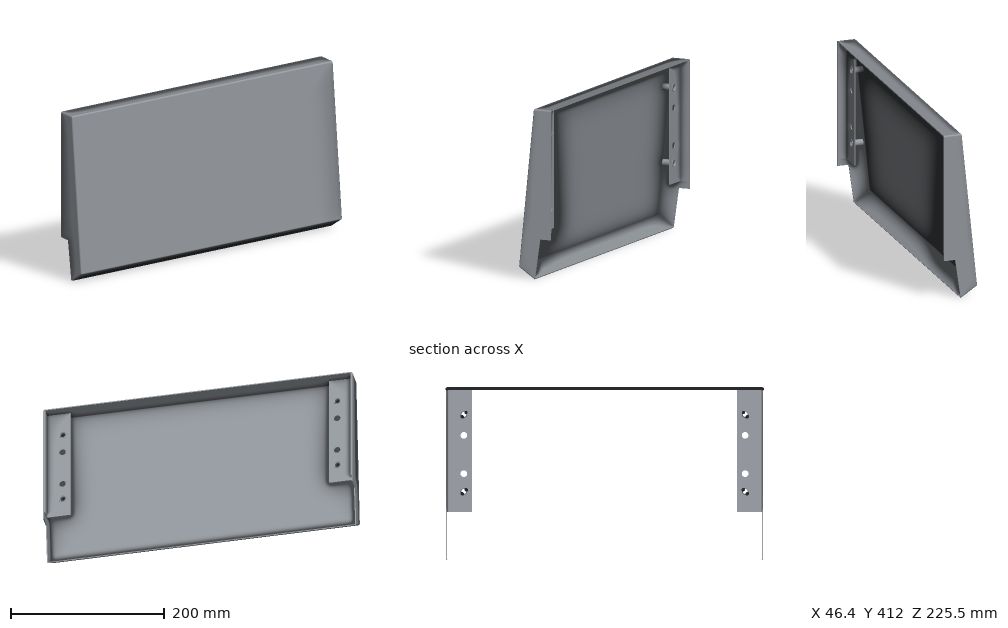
import cadquery as cq
import math

LENGTH = 412.0
DEPTH = 46.5
HEIGHT = 225.5

SHEET = 1.4
INNER_BEND_RADIUS = 0.65
OUTER_BEND_RADIUS = INNER_BEND_RADIUS + SHEET
TOP_DEPTH = 25.0
HEEL_HEIGHT = 15.0
LIP_FRONT = 24.0
STEP_HEIGHT = 53.5
STEP_DEPTH = 15.5

BRACKET_SETBACK = 12.0
FLANGE_WIDTH = 32.5
BRACKET_BOTTOM = 63.5

HOLE_INSET = 23.0
HOLE_DIAMETER = 8.5
RIVET_NUT_CENTRE = 140.5
RIVET_NUT_PITCH = 100.0
PLAIN_HOLE_CENTRE = 138.5
PLAIN_HOLE_PITCH = 50.0
SLEEVE_LENGTH = 15.0
RIM_DIAMETER = 10.5
RIM_THICKNESS = 1.0
BORE_DIAMETER = 6.0
COUNTERSINK = 1.2

BACK_SLOPE = (DEPTH - TOP_DEPTH) / (HEIGHT - HEEL_HEIGHT)
BACK_ANGLE = math.atan(BACK_SLOPE)
LIP_SLOPE = HEEL_HEIGHT / (DEPTH - LIP_FRONT)
LIP_ANGLE = math.atan(LIP_SLOPE)

BRACKET_TOP = HEIGHT - OUTER_BEND_RADIUS
WALL_INNER_Y = LENGTH / 2 - SHEET
HOLE_Y = LENGTH / 2 - HOLE_INSET
RIVET_NUT_HEIGHTS = [RIVET_NUT_CENTRE + direction * RIVET_NUT_PITCH / 2 for direction in (-1, 1)]
PLAIN_HOLE_HEIGHTS = [PLAIN_HOLE_CENTRE + direction * PLAIN_HOLE_PITCH / 2 for direction in (-1, 1)]


def make_tray_block(inset):
    """Solid tray shape, shrunk by inset on every side but the open front, with rounded bends."""
    back_shift = inset / math.cos(BACK_ANGLE)
    lip_shift = inset / math.cos(LIP_ANGLE)
    top_z = HEIGHT - inset
    top_x = TOP_DEPTH + inset * BACK_SLOPE - back_shift
    lip_start_z = lip_shift - LIP_FRONT * LIP_SLOPE

    heel_x = (TOP_DEPTH + (HEIGHT - lip_start_z) * BACK_SLOPE - back_shift) / (1 + BACK_SLOPE * LIP_SLOPE)
    heel_z = lip_start_z + heel_x * LIP_SLOPE
    profile = [(0, top_z), (top_x, top_z), (heel_x, heel_z), (0, lip_start_z)]
    block = cq.Workplane("XZ").polyline(profile).close().extrude(LENGTH / 2 - inset, both=True)
    return block.edges("not <X").fillet(OUTER_BEND_RADIUS - inset)


def make_housing():
    """Open-fronted tray: top strip, sloping back, rising bottom lip and two side walls."""
    tray = make_tray_block(0).cut(make_tray_block(SHEET))

    across_lip = (-math.sin(LIP_ANGLE), math.cos(LIP_ANGLE))
    lip_inner_end = (LIP_FRONT + SHEET * across_lip[0], SHEET * across_lip[1])
    below_lip = (LIP_FRONT - DEPTH * across_lip[0], -DEPTH * across_lip[1])
    front_cutout = (
        cq.Workplane("XZ")
        .moveTo(0, STEP_HEIGHT)
        .lineTo(STEP_DEPTH, STEP_HEIGHT)
        .lineTo(*lip_inner_end)
        .lineTo(*below_lip)
        .lineTo(0, below_lip[1])
        .close()
        .extrude(LENGTH / 2, both=True)
    )
    return tray.cut(front_cutout)


def make_bracket(side):
    """Bent angle on one side wall; side is -1 or +1 for the wall at -Y or +Y."""
    back_x = BRACKET_SETBACK + SHEET
    wall_y = side * WALL_INNER_Y
    leg_y = side * (WALL_INNER_Y - SHEET)
    flange_end_y = side * (WALL_INNER_Y - FLANGE_WIDTH)
    angle_profile = [
        (0, wall_y),
        (back_x, wall_y),
        (back_x, flange_end_y),
        (BRACKET_SETBACK, flange_end_y),
        (BRACKET_SETBACK, leg_y),
        (0, leg_y),
    ]
    bracket = (
        cq.Workplane("XY", origin=(0, 0, BRACKET_BOTTOM))
        .polyline(angle_profile)
        .close()
        .extrude(BRACKET_TOP - BRACKET_BOTTOM)
    )
    middle_z = (BRACKET_TOP + BRACKET_BOTTOM) / 2
    outer_bend = cq.selectors.NearestToPointSelector((back_x, wall_y, middle_z))
    inner_bend = cq.selectors.NearestToPointSelector((BRACKET_SETBACK, leg_y, middle_z))
    bracket = bracket.edges(outer_bend).fillet(OUTER_BEND_RADIUS)
    bracket = bracket.edges(inner_bend).fillet(INNER_BEND_RADIUS)

    hole_heights = RIVET_NUT_HEIGHTS + PLAIN_HOLE_HEIGHTS
    holes = (
        cq.Workplane("YZ")
        .pushPoints([(side * HOLE_Y, z) for z in hole_heights])
        .circle(HOLE_DIAMETER / 2)
        .extrude(DEPTH)
    )
    return bracket.cut(holes)


def make_rivet_nut(y, z):
    """Sleeve with a thin rim on the flange's front face and a bore with a countersunk mouth."""
    seat = cq.Workplane("YZ", origin=(BRACKET_SETBACK, y, z))
    rim = seat.circle(RIM_DIAMETER / 2).extrude(-RIM_THICKNESS)
    sleeve = seat.circle(HOLE_DIAMETER / 2).extrude(SLEEVE_LENGTH)
    mouth = seat.workplane(offset=-RIM_THICKNESS)
    bore = mouth.circle(BORE_DIAMETER / 2).extrude(RIM_THICKNESS + SLEEVE_LENGTH)
    countersink = (
        mouth.circle(BORE_DIAMETER / 2 + COUNTERSINK)
        .workplane(offset=COUNTERSINK)
        .circle(BORE_DIAMETER / 2)
        .loft()
    )
    return rim.union(sleeve).cut(bore).cut(countersink)


housing = make_housing()
brackets = []
rivet_nuts = []
for side in (-1, 1):
    brackets.append(make_bracket(side))
    for height in RIVET_NUT_HEIGHTS:
        rivet_nuts.append(make_rivet_nut(side * HOLE_Y, height))

result = cq.Compound.makeCompound(
    [
        housing.val(),
        *[bracket.val() for bracket in brackets],
        *[rivet_nut.val() for rivet_nut in rivet_nuts],
    ]
)